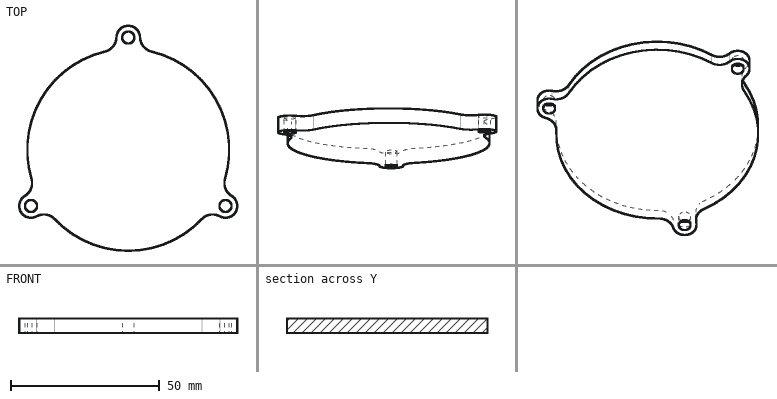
import cadquery as cq
import math

thickness = 5.0
disc_radius = 34.0
lug_radius = 4.0
lug_circle_radius = 37.76
hole_diameter = 4.0
blend_radius = 5.0
lug_angles = (90.0, 210.0, 330.0)


def polar(radius, angle):
    """Point at a radius and an angle in degrees from the disc centre."""
    radians = math.radians(angle)
    return (radius * math.cos(radians), radius * math.sin(radians))


disc_to_blend = disc_radius + blend_radius
lug_to_blend = lug_radius + blend_radius
blend_offset_angle = math.degrees(math.acos(
    (disc_to_blend**2 + lug_circle_radius**2 - lug_to_blend**2)
    / (2 * disc_to_blend * lug_circle_radius)
))


def make_web(lug_angle):
    """Material between the disc and a lug, hollowed by the two blend arcs."""
    disc_centre = (0.0, 0.0)
    lug_centre = polar(lug_circle_radius, lug_angle)
    blend_centres = [
        polar(disc_to_blend, lug_angle + side * blend_offset_angle)
        for side in (-1, 1)
    ]
    web = (
        cq.Workplane("XY")
        .polyline([disc_centre, blend_centres[0], lug_centre, blend_centres[1]])
        .close()
        .extrude(thickness)
    )
    blend_cutters = (
        cq.Workplane("XY")
        .pushPoints(blend_centres)
        .circle(blend_radius)
        .extrude(thickness)
    )
    return web.cut(blend_cutters)


def make_plate():
    """Disc with the lugs blended into its rim."""
    plate = cq.Workplane("XY").circle(disc_radius).extrude(thickness)
    for lug_angle in lug_angles:
        lug = (
            cq.Workplane("XY")
            .center(*polar(lug_circle_radius, lug_angle))
            .circle(lug_radius)
            .extrude(thickness)
        )
        plate = plate.union(make_web(lug_angle)).union(lug)
    return plate.clean()


def cut_lug_holes(plate):
    """Drill a through hole in the middle of each lug."""
    holes = (
        cq.Workplane("XY")
        .pushPoints([polar(lug_circle_radius, angle) for angle in lug_angles])
        .circle(hole_diameter / 2)
        .extrude(thickness)
    )
    return plate.cut(holes)


result = cut_lug_holes(make_plate())